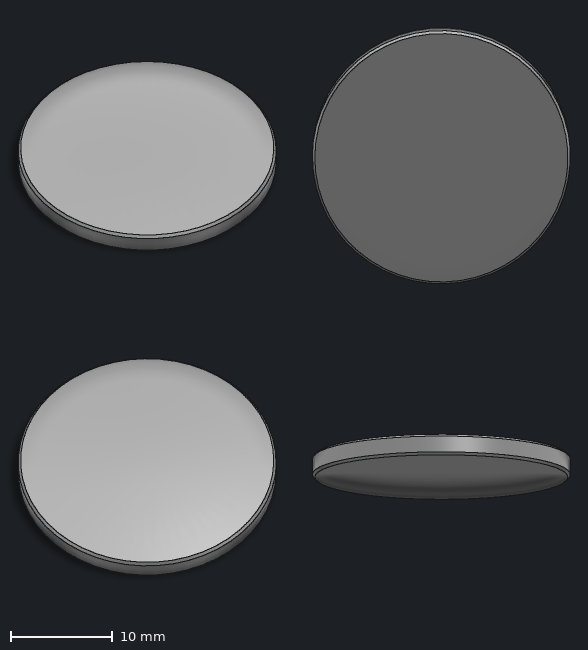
import cadquery as cq

diameter = 25.4
center_thickness = 3.18
dome_height = 1.1
bevel = 0.25

radius = diameter / 2
face_radius = radius - bevel
edge_thickness = center_thickness - dome_height

sphere_radius = (face_radius**2 + dome_height**2) / (2 * dome_height)
mid_radius = face_radius / 2
mid_height = center_thickness - sphere_radius + (sphere_radius**2 - mid_radius**2) ** 0.5

half_section = (
    cq.Workplane("XZ")
    .moveTo(0, 0)
    .lineTo(face_radius, 0)
    .lineTo(radius, bevel)
    .lineTo(radius, edge_thickness - bevel)
    .lineTo(face_radius, edge_thickness)
    .threePointArc((mid_radius, mid_height), (0, center_thickness))
    .close()
)

result = half_section.revolve(360, (0, 0, 0), (0, 1, 0))